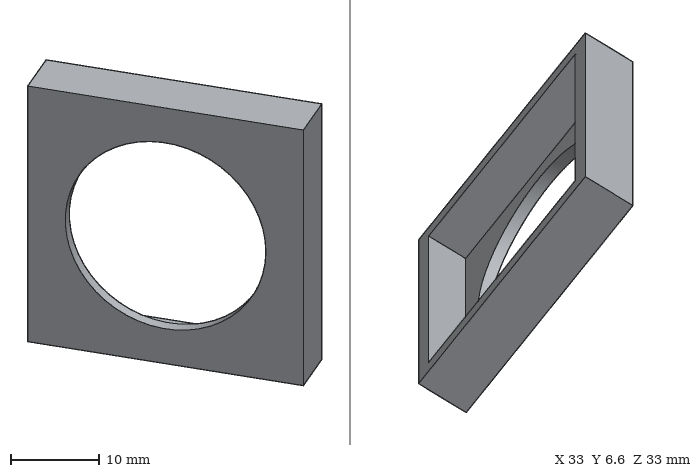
import cadquery as cq

side = 33.0
depth = 6.6
wall = 2.0
front_thickness = 1.5
window_diameter = 24.0

pocket_side = side - 2 * wall
pocket_depth = depth - front_thickness

block = cq.Workplane("XY").box(side, depth, side)

pocket = (
    cq.Workplane("XY")
    .box(pocket_side, pocket_depth, pocket_side)
    .translate((0, front_thickness / 2, 0))
)

window = (
    cq.Workplane("XZ")
    .circle(window_diameter / 2)
    .extrude(depth / 2)
)

result = block.cut(pocket).cut(window)